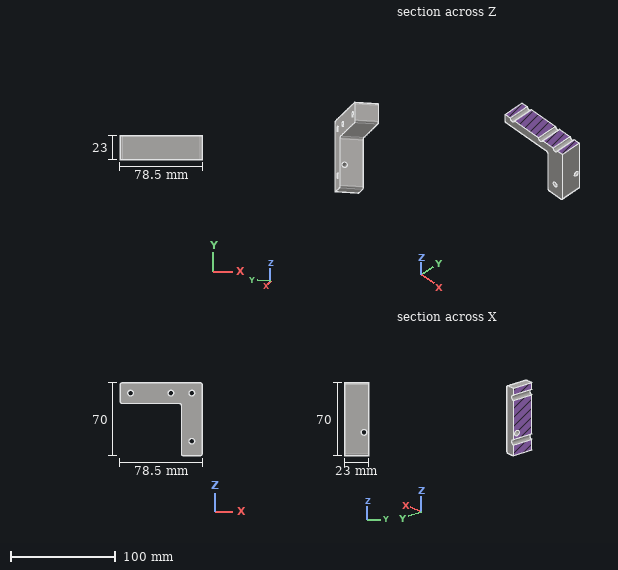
import cadquery as cq

length = 78.5
depth = 23.0
height = 70.0
arm_width = 20.0
corner_radius = 2.0

hole_diameter = 5.2
arm_center = arm_width / 2
arm_hole_spacing = 20.0
leg_hole_height = 14.0
side_hole_height = 22.5
side_hole_inset = 4.5

leg_left = length - arm_width
arm_bottom = height - arm_width
leg_center = length - arm_center
arm_axis_height = height - arm_center


def bracket_body():
    """L-shaped block with every corner of its outline rounded."""
    outline = [
        (0, height),
        (length, height),
        (length, 0),
        (leg_left, 0),
        (leg_left, arm_bottom),
        (0, arm_bottom),
    ]
    block = cq.Workplane("XZ").polyline(outline).close().extrude(-depth)
    return block.edges("|Y").fillet(corner_radius)


def front_holes():
    """Cylinders along Y: three in the arm and one low in the leg."""
    centers = [
        (arm_center, arm_axis_height),
        (leg_center - arm_hole_spacing, arm_axis_height),
        (leg_center, arm_axis_height),
        (leg_center, leg_hole_height),
    ]
    return cq.Workplane("XZ").pushPoints(centers).circle(hole_diameter / 2).extrude(-depth)


def side_hole():
    """Cylinder along X through the leg, near the +Y face."""
    return (
        cq.Workplane("YZ")
        .workplane(offset=leg_left)
        .center(depth - side_hole_inset, side_hole_height)
        .circle(hole_diameter / 2)
        .extrude(arm_width)
    )


result = bracket_body().cut(front_holes()).cut(side_hole())